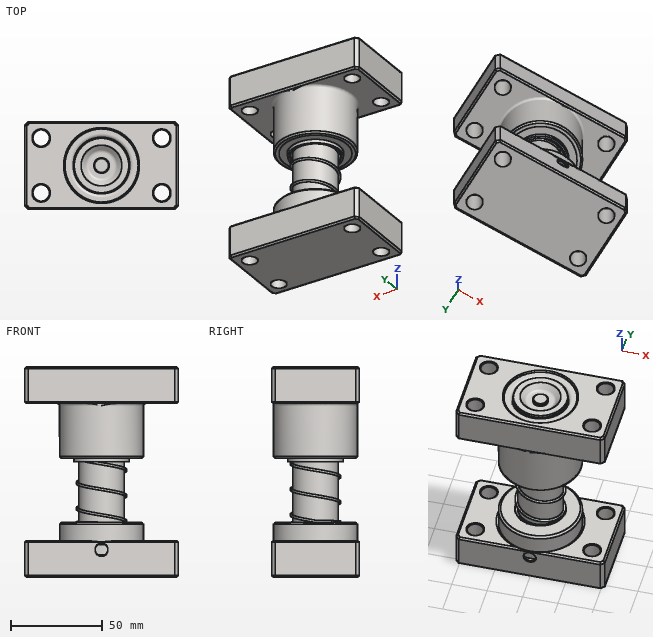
import cadquery as cq
import math

plate_thickness = 20.0
overall_height = 114.97
upper_plate_z = overall_height - plate_thickness
flange_top_z = 30.0
boss_bottom_z = 65.0
cage_bottom_z = 63.0
cap_height = 6.0
cap_flange_thickness = 1.5
pillar_top_z = overall_height - cap_height
cage_top_z = overall_height - cap_flange_thickness

plate_length = 84.0
plate_width = 48.0
plate_corner_chamfer = 2.0
plate_edge_chamfer = 1.0
bolt_spacing_x = 66.0
bolt_spacing_y = 30.0
bolt_hole_diameter = 9.0
bolt_hole_chamfer = 0.5
recess_chamfer = 1.25
recess_depth = 12.0
flange_bottom_z = plate_thickness - recess_depth
set_screw_diameter = 7.0
set_screw_z = 15.0
bush_seat_chamfer = 0.75

boss_diameter = 46.0
boss_edge_chamfer = 1.0
boss_fillet_radius = 1.2

bush_diameter = 40.0
bush_bore_diameter = 31.0
bush_mouth_radius = 2.0
bush_top_z = overall_height - bush_seat_chamfer

pillar_diameter = 25.0
flange_diameter = boss_diameter
flange_edge_chamfer = 1.2
groove_half_width = 2.7
groove_depth = 1.0

cage_diameter = 30.4

wire_diameter = 1.3
coil_radius = 13.2
active_pitch = 14.0
active_turns = 2.4
active_start_z = 30.5
closed_pitch = 1.4
closed_turns = 1.0
points_per_turn = 24
spring_seat_diameter = 28.0
lower_seat_depth = 1.8
upper_seat_depth = 3.5

cap_flange_diameter = 29.8
dish_diameter = 22.3
dish_depth = 3.3
dish_fillet = 2.26
screw_diameter = 8.4
screw_chamfer = 0.4
screw_top_drop = 1.7
screw_top_z = overall_height - screw_top_drop
screw_engagement = 15.0
screw_bottom_z = pillar_top_z - screw_engagement


def cylinder(diameter, bottom_z, top_z):
    return cq.Workplane("XY").workplane(offset=bottom_z).circle(diameter / 2).extrude(top_z - bottom_z)


def plate_blank(bottom_z):
    """Block with chamfered edges and four countersunk bolt holes."""
    block = (
        cq.Workplane("XY")
        .workplane(offset=bottom_z)
        .rect(plate_length, plate_width)
        .extrude(plate_thickness)
        .edges("|Z")
        .chamfer(plate_corner_chamfer)
        .faces("<Z or >Z")
        .chamfer(plate_edge_chamfer)
    )
    return (
        block.faces(">Z")
        .workplane(origin=(0, 0, 0))
        .rect(bolt_spacing_x, bolt_spacing_y, forConstruction=True)
        .vertices()
        .cskHole(bolt_hole_diameter, bolt_hole_diameter + 2 * bolt_hole_chamfer, 90)
    )


def countersink(hole_diameter, top_z, depth):
    """45-degree cone that widens a hole upwards to the face at top_z."""
    radius = hole_diameter / 2
    return cq.Workplane(cq.Solid.makeCone(radius, radius + depth, depth, cq.Vector(0, 0, top_z - depth)))


def make_lower_plate():
    recess = cylinder(flange_diameter, flange_bottom_z, plate_thickness)
    recess = recess.union(countersink(flange_diameter, plate_thickness, recess_chamfer))
    set_screw_hole = (
        cq.Workplane("XZ", origin=(0, 0, set_screw_z))
        .circle(set_screw_diameter / 2)
        .extrude(plate_width / 2)
    )
    return plate_blank(0).cut(recess).cut(set_screw_hole)


def boss_fillet():
    """Concave ring between boss and plate, trimmed where it would overhang the plate's long sides."""
    radius = boss_diameter / 2
    arc_inset = boss_fillet_radius * (1 - math.sqrt(0.5))
    bottom_z = upper_plate_z - boss_fillet_radius
    ring = (
        cq.Workplane("XZ")
        .moveTo(bush_diameter / 2, upper_plate_z)
        .lineTo(radius + boss_fillet_radius, upper_plate_z)
        .threePointArc((radius + arc_inset, upper_plate_z - arc_inset), (radius, bottom_z))
        .lineTo(bush_diameter / 2, bottom_z)
        .close()
        .revolve(360, (0, 0, 0), (0, 1, 0))
    )
    bottom_face_width = plate_width - 2 * plate_edge_chamfer
    trim = (
        cq.Workplane("XY")
        .workplane(offset=bottom_z)
        .rect(plate_length, bottom_face_width)
        .extrude(boss_fillet_radius)
    )
    return ring.intersect(trim)


def make_upper_plate():
    boss = cylinder(boss_diameter, boss_bottom_z, upper_plate_z).faces("<Z").chamfer(boss_edge_chamfer)
    seat = cylinder(bush_diameter, boss_bottom_z, overall_height)
    mouth = countersink(bush_diameter, overall_height, bush_seat_chamfer)
    return plate_blank(upper_plate_z).union(boss).union(boss_fillet()).cut(seat).cut(mouth)


def make_bush():
    bush = cylinder(bush_diameter, boss_bottom_z, bush_top_z).cut(
        cylinder(bush_bore_diameter, boss_bottom_z, bush_top_z)
    )
    return bush.faces(">Z").edges(cq.selectors.RadiusNthSelector(0)).fillet(bush_mouth_radius)


def set_screw_groove():
    """Ring groove around the flange with 45-degree flanks."""
    rim_radius = flange_diameter / 2
    floor_radius = rim_radius - groove_depth
    rim_half_width = groove_half_width + groove_depth
    return (
        cq.Workplane("XZ")
        .moveTo(floor_radius, set_screw_z - groove_half_width)
        .lineTo(floor_radius, set_screw_z + groove_half_width)
        .lineTo(rim_radius, set_screw_z + rim_half_width)
        .lineTo(rim_radius, set_screw_z - rim_half_width)
        .close()
        .revolve(360, (0, 0, 0), (0, 1, 0))
    )


def make_flange():
    flange = cylinder(flange_diameter, flange_bottom_z, flange_top_z)
    flange = flange.faces(">Z").chamfer(flange_edge_chamfer)
    seat = cylinder(spring_seat_diameter, flange_top_z - lower_seat_depth, flange_top_z)
    bore = cylinder(pillar_diameter, flange_bottom_z, flange_top_z)
    return flange.cut(set_screw_groove()).cut(seat).cut(bore)


def make_pillar():
    pillar = cylinder(pillar_diameter, flange_bottom_z, pillar_top_z)
    return pillar.cut(cylinder(screw_diameter, screw_bottom_z, pillar_top_z))


def make_cage():
    cage = cylinder(cage_diameter, cage_bottom_z, cage_top_z)
    seat = cylinder(spring_seat_diameter, cage_bottom_z, cage_bottom_z + upper_seat_depth)
    return cage.cut(seat).cut(cylinder(pillar_diameter, cage_bottom_z, cage_top_z))


def spring_height(turn):
    """Height of the wire centre, counted in turns from the start of the active coils."""
    active = min(max(turn, 0), active_turns)
    return active_start_z + active_pitch * active + closed_pitch * (turn - active)


def make_spring():
    first_turn = -closed_turns
    last_turn = active_turns + closed_turns
    steps = round((last_turn - first_turn) * points_per_turn)
    path_points = []
    for step in range(steps + 1):
        turn = first_turn + step * (last_turn - first_turn) / steps
        angle = -2 * math.pi * turn
        x = coil_radius * math.cos(angle)
        y = coil_radius * math.sin(angle)
        path_points.append((x, y, spring_height(turn)))
    path = cq.Workplane("XY").spline(path_points)
    section = cq.Workplane("XZ", origin=path_points[0]).circle(wire_diameter / 2)
    return section.sweep(path, isFrenet=True)


def make_cap():
    spigot = cylinder(pillar_diameter, pillar_top_z, cage_top_z)
    cap = cylinder(cap_flange_diameter, cage_top_z, overall_height).union(spigot)
    dish = countersink(dish_diameter - 2 * dish_depth, overall_height, dish_depth)
    dish = dish.faces("<Z").edges().fillet(dish_fillet)
    return cap.cut(dish).cut(cylinder(screw_diameter, pillar_top_z, overall_height))


def make_screw():
    return cylinder(screw_diameter, screw_bottom_z, screw_top_z).faces(">Z").chamfer(screw_chamfer)


lower_plate = make_lower_plate()
upper_plate = make_upper_plate()
bush = make_bush()
flange = make_flange()
pillar = make_pillar()
cage = make_cage()
spring = make_spring()
cap = make_cap()
screw = make_screw()

bodies = [lower_plate, upper_plate, bush, flange, pillar, cage, spring, cap, screw]
result = cq.Compound.makeCompound([solid for body in bodies for solid in body.solids().vals()])